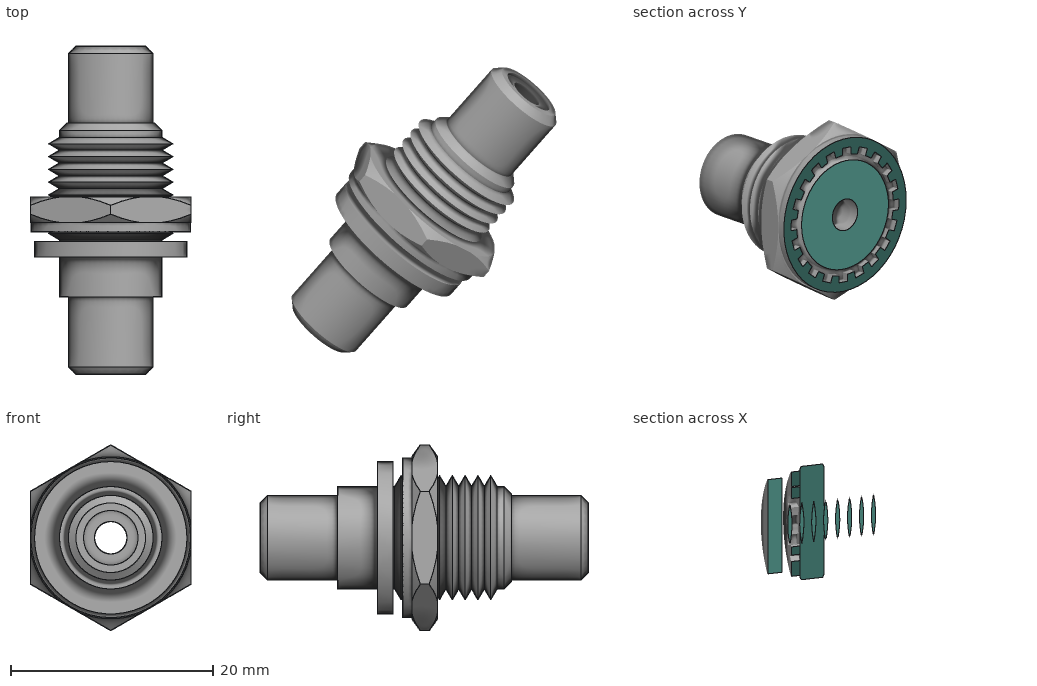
import cadquery as cq
import math


length = 32.45
end_y = length / 2
barrel_radius = 4.2
collar_radius = 5.05
collar_front_y = -8.55
collar_back_y = 8.63
chamfer = 0.75

flange_radius = 7.53
flange_front_y = -4.65
flange_back_y = -3.08

thread_crest_radius = 6.13
thread_start_y = -2.92
thread_pitch = 1.25
thread_count = 8

socket_radius = 1.6
recess_radius = 2.7
recess_depth = 0.3

nut_across_flats = 15.9
nut_corner_radius = nut_across_flats / math.sqrt(3)
nut_front_y = -1.23
nut_thickness = 2.55
nut_back_y = nut_front_y + nut_thickness
nut_face_radius = 8.0
nut_chamfer_height = 0.85

washer_radius = 7.88
washer_bore_radius = 6.15
washer_thickness = 0.9
washer_front_y = nut_front_y - washer_thickness
notch_count = 20
notch_bottom_radius = 6.88
notch_width = 1.05
first_notch_angle = 16.0


def revolve_about_y(points):
    """Revolve a closed outline of (y, radius) points a full turn about the Y axis."""
    return cq.Workplane("YZ").polyline(points).close().revolve(360, (0, 0), (1, 0))


def cylinder_along_y(radius, start_y, height):
    """A solid cylinder about the Y axis, running from start_y towards +Y."""
    start_plane = cq.Workplane("XZ", origin=(0, start_y, 0))
    return start_plane.circle(radius).extrude(-height)


def thread_outline():
    """The (y, radius) points of the V-shaped thread rings, from front to back."""
    points = [(thread_start_y, collar_radius)]
    for ring in range(thread_count):
        ring_y = thread_start_y + ring * thread_pitch
        points.append((ring_y + thread_pitch / 2, thread_crest_radius))
        points.append((ring_y + thread_pitch, collar_radius))
    return points


def make_connector():
    outline = [
        (-end_y, 0),
        (-end_y, barrel_radius - chamfer),
        (-end_y + chamfer, barrel_radius),
        (collar_front_y, barrel_radius),
        (collar_front_y, collar_radius),
        (flange_front_y, collar_radius),
        (flange_front_y, flange_radius),
        (flange_back_y, flange_radius),
        (flange_back_y, collar_radius),
        *thread_outline(),
        (collar_back_y - chamfer, collar_radius),
        (collar_back_y, collar_radius - chamfer),
        (collar_back_y, barrel_radius),
        (end_y - chamfer, barrel_radius),
        (end_y, barrel_radius - chamfer),
        (end_y, 0),
    ]
    body = revolve_about_y(outline)
    socket = cylinder_along_y(socket_radius, -end_y, length)
    front_recess = cylinder_along_y(recess_radius, -end_y, recess_depth)
    back_recess = cylinder_along_y(recess_radius, end_y - recess_depth, recess_depth)
    return body.cut(socket).cut(front_recess).cut(back_recess).solids()


def make_nut():
    hexagon = (
        cq.Workplane("XZ", origin=(0, nut_front_y, 0))
        .transformed(rotate=(0, 0, 90))
        .polygon(6, 2 * nut_corner_radius)
        .extrude(-nut_thickness)
    )
    corner_envelope = revolve_about_y([
        (nut_front_y, 0),
        (nut_front_y, nut_face_radius),
        (nut_front_y + nut_chamfer_height, nut_corner_radius),
        (nut_back_y - nut_chamfer_height, nut_corner_radius),
        (nut_back_y, nut_face_radius),
        (nut_back_y, 0),
    ])
    thread_end_y = thread_start_y + thread_count * thread_pitch
    threaded_core = revolve_about_y([(thread_start_y, 0), *thread_outline(), (thread_end_y, 0)])
    return hexagon.intersect(corner_envelope).cut(threaded_core).solids()


def make_lock_washer():
    disc = cylinder_along_y(washer_radius, washer_front_y, washer_thickness)
    bore = cylinder_along_y(washer_bore_radius, washer_front_y, washer_thickness)
    washer = disc.cut(bore)
    notch = cq.Workplane("XY").box(
        notch_bottom_radius, washer_thickness, notch_width, centered=(False, False, True)
    ).translate((0, washer_front_y, 0))
    for index in range(notch_count):
        angle = first_notch_angle + index * 360 / notch_count
        washer = washer.cut(notch.rotate((0, 0, 0), (0, 1, 0), -angle))
    return washer.solids()


connector = make_connector()
nut = make_nut()
lock_washer = make_lock_washer()

result = cq.Compound.makeCompound([connector.val(), nut.val(), lock_washer.val()])